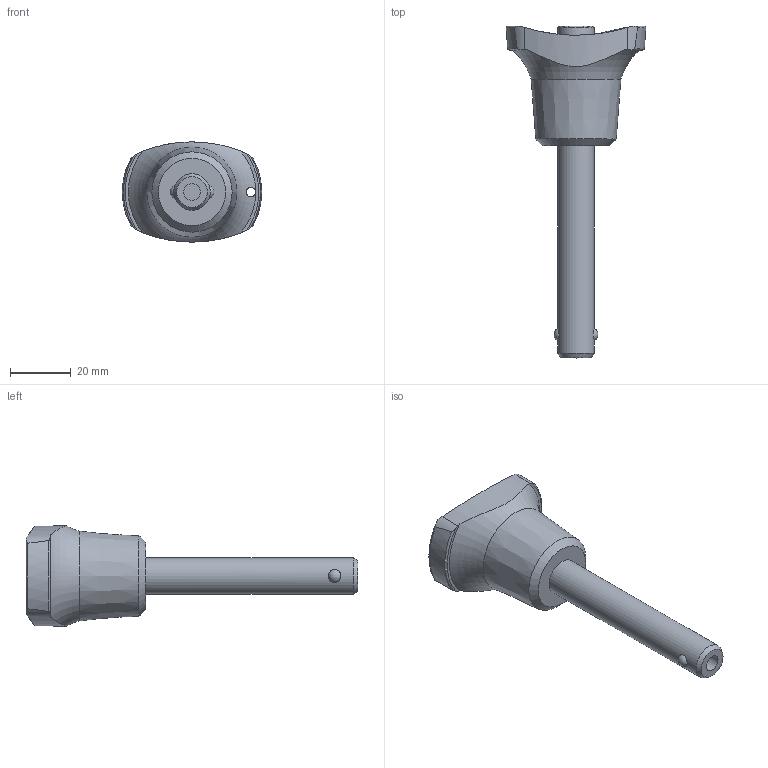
import cadquery as cq
import math


SHANK_DIAMETER = 12.0
SHANK_LENGTH = 70.0
TIP_CHAMFER_LENGTH = 1.5
TIP_CHAMFER_DEPTH = 0.9
BORE_DIAMETER = 5.5
BORE_DEPTH = 5.0

BALL_DIAMETER = 4.5
BALL_SPAN = 14.5
BALL_TO_TIP = 7.7

HANDLE_LENGTH = 39.4
NOSE_RADIUS = 13.25
NOSE_CHAMFER = 2.2
NECK_RADIUS = 14.8
NECK_Y = 21.9
FLARE_RADIUS = 21.0
FLARE_BULGE = 0.85
EAR_THICKNESS = 7.9
RIM_BOTTOM_RADIUS = 22.6
RIM_TOP_RADIUS = 23.0
RIM_ROUND = 0.6

HANDLE_HEIGHT = 33.0
CROWN_RADIUS = 45.0
CORNER_X = 17.0
CORNER_RADIUS = 8.5
CORNER_SWEEP = math.radians(50)
SIDE_CLEARANCE = 1.0

SADDLE_DEPTH = 3.05
SADDLE_RADIUS = 57.0

BUTTON_DIAMETER = SHANK_DIAMETER
BUTTON_CHAMFER = 0.35
LANYARD_HOLE_DIAMETER = 3.1
LANYARD_HOLE_X = 19.4

EAR_Y = HANDLE_LENGTH - EAR_THICKNESS


def cylinder_along_y(radius, y_start, y_end, x=0.0):
    """Solid cylinder parallel to Y between two Y positions."""
    start = cq.Vector(x, y_start, 0)
    return cq.Workplane(cq.Solid.makeCylinder(radius, y_end - y_start, start, cq.Vector(0, 1, 0)))


def turned_handle():
    """Tapered grip flaring out to a round, slightly conical rim."""
    chord_r = FLARE_RADIUS - NECK_RADIUS
    chord_y = EAR_Y - NECK_Y
    chord = math.hypot(chord_r, chord_y)
    flare_middle = (
        (NECK_RADIUS + FLARE_RADIUS) / 2 - FLARE_BULGE * chord_y / chord,
        (NECK_Y + EAR_Y) / 2 + FLARE_BULGE * chord_r / chord,
    )
    handle = (
        cq.Workplane("XY")
        .lineTo(NOSE_RADIUS - NOSE_CHAMFER, 0)
        .lineTo(NOSE_RADIUS, NOSE_CHAMFER)
        .lineTo(NECK_RADIUS, NECK_Y)
        .threePointArc(flare_middle, (FLARE_RADIUS, EAR_Y))
        .lineTo(RIM_BOTTOM_RADIUS, EAR_Y)
        .lineTo(RIM_TOP_RADIUS, HANDLE_LENGTH)
        .lineTo(0, HANDLE_LENGTH)
        .close()
        .revolve(360, (0, 0, 0), (0, 1, 0))
    )
    rim_edges = handle.edges("%CIRCLE").filter(lambda edge: edge.radius() > FLARE_RADIUS + RIM_ROUND)
    return rim_edges.fillet(RIM_ROUND)


def flattening_prism():
    """Prism along Y with crowned top and bottom and rounded corners.

    Its ends in X stand clear of the rim, so the turned rim forms the sides of the ears.
    """
    half_height = HANDLE_HEIGHT / 2
    crown_centre_z = half_height - CROWN_RADIUS
    tangent_angle = math.asin(CORNER_X / CROWN_RADIUS)
    corner_centre_distance = CROWN_RADIUS - CORNER_RADIUS
    corner_centre_x = corner_centre_distance * math.sin(tangent_angle)
    corner_centre_z = crown_centre_z + corner_centre_distance * math.cos(tangent_angle)

    def corner_point(sweep):
        angle = tangent_angle + sweep
        x = corner_centre_x + CORNER_RADIUS * math.sin(angle)
        z = corner_centre_z + CORNER_RADIUS * math.cos(angle)
        return x, z

    start_x, start_z = corner_point(0)
    middle_x, middle_z = corner_point(CORNER_SWEEP / 2)
    end_x, end_z = corner_point(CORNER_SWEEP)
    side_x = RIM_TOP_RADIUS + SIDE_CLEARANCE
    return (
        cq.Workplane("XZ")
        .moveTo(-start_x, start_z)
        .threePointArc((0, half_height), (start_x, start_z))
        .threePointArc((middle_x, middle_z), (end_x, end_z))
        .lineTo(side_x, end_z)
        .lineTo(side_x, -end_z)
        .lineTo(end_x, -end_z)
        .threePointArc((middle_x, -middle_z), (start_x, -start_z))
        .threePointArc((0, -half_height), (-start_x, -start_z))
        .threePointArc((-middle_x, -middle_z), (-end_x, -end_z))
        .lineTo(-side_x, -end_z)
        .lineTo(-side_x, end_z)
        .lineTo(-end_x, end_z)
        .threePointArc((-middle_x, middle_z), (-start_x, start_z))
        .close()
        .extrude(-HANDLE_LENGTH)
    )


def saddle_cutter():
    """Cylinder along Z that hollows the back of the handle."""
    return (
        cq.Workplane("XY")
        .center(0, HANDLE_LENGTH - SADDLE_DEPTH + SADDLE_RADIUS)
        .circle(SADDLE_RADIUS)
        .extrude(HANDLE_HEIGHT, both=True)
    )


def handle_body():
    """Finished handle with its saddle back and lanyard hole."""
    lanyard_hole = cylinder_along_y(LANYARD_HOLE_DIAMETER / 2, 0, HANDLE_LENGTH, LANYARD_HOLE_X)
    return turned_handle().intersect(flattening_prism()).cut(saddle_cutter()).cut(lanyard_hole)


def release_button():
    """Round button standing in the saddle, level with the ears."""
    button = cylinder_along_y(BUTTON_DIAMETER / 2, EAR_Y, HANDLE_LENGTH)
    return button.faces(">Y").chamfer(BUTTON_CHAMFER)


def shank():
    """Straight shank with a chamfered, bored tip; its root is buried in the handle."""
    radius = SHANK_DIAMETER / 2
    body = (
        cq.Workplane("XY")
        .moveTo(0, -SHANK_LENGTH)
        .lineTo(radius - TIP_CHAMFER_DEPTH, -SHANK_LENGTH)
        .lineTo(radius, -SHANK_LENGTH + TIP_CHAMFER_LENGTH)
        .lineTo(radius, NECK_Y)
        .lineTo(0, NECK_Y)
        .close()
        .revolve(360, (0, 0, 0), (0, 1, 0))
    )
    return body.cut(cylinder_along_y(BORE_DIAMETER / 2, -SHANK_LENGTH, -SHANK_LENGTH + BORE_DEPTH))


def locking_ball(side):
    """Ball standing out of the shank on the +X (1) or -X (-1) side."""
    centre_x = side * (BALL_SPAN - BALL_DIAMETER) / 2
    return cq.Workplane("XY").sphere(BALL_DIAMETER / 2).translate((centre_x, BALL_TO_TIP - SHANK_LENGTH, 0))


result = handle_body().union(release_button()).union(shank())
for ball_side in (-1, 1):
    result = result.union(locking_ball(ball_side))